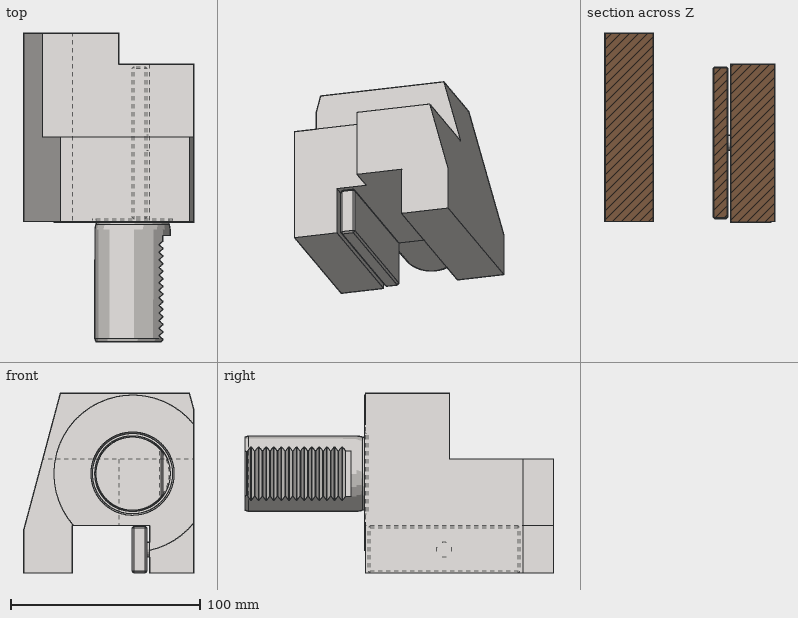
import cadquery as cq
import math


total_length = 163.0
shank_length = 63.0
body_back = total_length - shank_length
body_front = 0.5
body_left = -57.5
body_right = 32.5
body_top = 42.5
body_bottom = -52.5

flank_angle = math.radians(15)
left_flank_bottom = -30.0
right_flank_bottom = 33.5

step_front = 45.0
step_top = 7.8
notch_depth = 16.3
notch_left = -7.2

slot_left = -31.8
slot_right = 9.0
slot_top = -27.4

bar_left = -0.3
bar_width = 8.0
bar_top = -27.7
bar_chamfer = 1.0
bar_end_gap = 1.5
screw_diameter = 8.0
screw_embed = 3.3

face_diameter = 83.0

shank_diameter = 40.0
neck_diameter = 38.6
neck_length = 1.0
shoulder_diameter = 39.1
shoulder_end = 1.5
neck_taper_end = 3.9
tip_diameter = 38.6
tip_taper = 2.0

recess_diameter = 42.4
recess_depth = 2.0
recess_chamfer = 0.8

flat_offset = 16.0
flat_start = 7.0
flat_tip_chamfer = 1.0
tooth_depth = 1.8
tooth_root_width = 0.3
tooth_mouth_width = 3.6
tooth_count = 13
first_tooth = 11.7
last_tooth = 59.8
tooth_pitch = (last_tooth - first_tooth) / (tooth_count - 1)


def block(x_range, y_range, z_range):
    """Box spanning the given (low, high) ranges."""
    spans = (x_range, y_range, z_range)
    size = [high - low for low, high in spans]
    corner = [low for low, high in spans]
    return cq.Workplane("XY").box(*size, centered=False).translate(corner)


def cylinder_y(diameter, y_low, y_high):
    """Cylinder on the shank axis between two Y positions."""
    return (
        cq.Workplane("XZ", origin=(0, y_high, 0))
        .circle(diameter / 2)
        .extrude(y_high - y_low)
    )


def extruded_outline(y_low, y_high):
    """Body outline with sloping flanks, extruded between two Y positions."""
    left_run = (body_top - left_flank_bottom) * math.tan(flank_angle)
    right_run = (body_top - right_flank_bottom) * math.tan(flank_angle)
    outline = [
        (body_left, body_bottom),
        (body_right, body_bottom),
        (body_right, right_flank_bottom),
        (body_right - right_run, body_top),
        (body_left + left_run, body_top),
        (body_left, left_flank_bottom),
    ]
    return (
        cq.Workplane("XZ", origin=(0, y_high, 0))
        .polyline(outline)
        .close()
        .extrude(y_high - y_low)
    )


def revolved_about_y(profile):
    """Solid of revolution about the shank axis from (radius, y) points."""
    return cq.Workplane("XY").polyline(profile).close().revolve(360, (0, 0), (0, 1))


def make_recess_cutter():
    recess_radius = recess_diameter / 2
    return revolved_about_y([
        (0, 0),
        (recess_radius + recess_chamfer, 0),
        (recess_radius, recess_chamfer),
        (recess_radius, recess_depth),
        (0, recess_depth),
    ])


def make_body():
    body = extruded_outline(body_front, body_back)
    locating_face = cylinder_y(face_diameter, 0, body_front)
    body = body.union(locating_face.intersect(extruded_outline(0, body_front)))

    step = block((body_left, body_right), (step_front, body_back), (step_top, body_top))
    notch = block(
        (notch_left, body_right),
        (body_back - notch_depth, body_back),
        (body_bottom, body_top),
    )
    slot = block((slot_left, slot_right), (0, body_back), (body_bottom, slot_top))
    return body.cut(step).cut(notch).cut(slot).cut(make_recess_cutter())


def make_shank():
    profile = [
        (0, recess_depth),
        (neck_diameter / 2, recess_depth),
        (neck_diameter / 2, -neck_length),
        (shoulder_diameter / 2, -shoulder_end),
        (shank_diameter / 2, -neck_taper_end),
        (shank_diameter / 2, tip_taper - shank_length),
        (tip_diameter / 2, -shank_length),
        (0, -shank_length),
    ]
    return revolved_about_y(profile)


def make_flat_cutter():
    """Material removed for the flat, its tip chamfer and the teeth."""
    outer = shank_diameter / 2
    half_width = shank_diameter / 2
    base = cq.Workplane("XY", origin=(0, 0, -half_width))

    flat_outline = [
        (outer, -flat_start),
        (flat_offset, -flat_start),
        (flat_offset, flat_tip_chamfer - shank_length),
        (flat_offset - flat_tip_chamfer, -shank_length),
        (outer, -shank_length),
    ]
    cutter = base.polyline(flat_outline).close().extrude(2 * half_width)

    for index in range(tooth_count):
        center = -first_tooth - index * tooth_pitch
        groove_outline = [
            (flat_offset, center + tooth_mouth_width / 2),
            (flat_offset - tooth_depth, center + tooth_root_width / 2),
            (flat_offset - tooth_depth, center - tooth_root_width / 2),
            (flat_offset, center - tooth_mouth_width / 2),
        ]
        cutter = cutter.union(base.polyline(groove_outline).close().extrude(2 * half_width))
    return cutter


def make_clamping_bar():
    """Chamfered bar held off the slot wall by a screw at its middle."""
    bar_right = bar_left + bar_width
    bar_front = body_front + bar_end_gap
    bar_back = body_back - notch_depth - bar_end_gap
    bar = block((bar_left, bar_right), (bar_front, bar_back), (body_bottom, bar_top))
    bar = bar.edges().chamfer(bar_chamfer)

    screw_start = bar_right - screw_embed
    screw_end = slot_right + screw_embed
    screw_center = (screw_start, (bar_front + bar_back) / 2, (body_bottom + bar_top) / 2)
    screw = (
        cq.Workplane("YZ", origin=screw_center)
        .circle(screw_diameter / 2)
        .extrude(screw_end - screw_start)
    )
    return bar.union(screw)


shank = make_shank().cut(make_flat_cutter())
result = make_body().union(shank).union(make_clamping_bar())